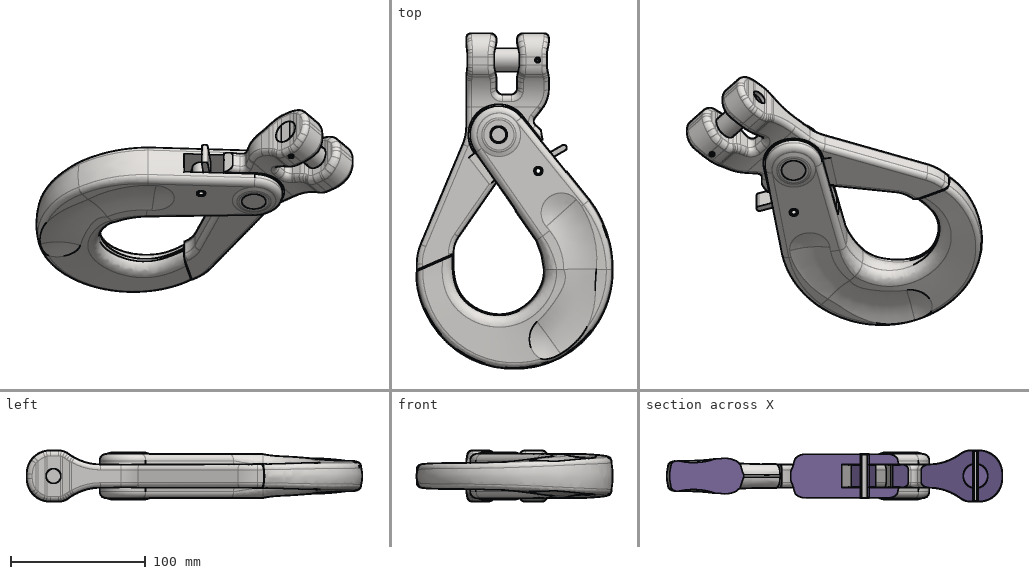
import cadquery as cq
import math


ARM_ANGLE = -52.5
ARM_LENGTH = 79.2
EYE_RADIUS = 21.2
ARM_PIVOT_OFFSET = 22.2
ARM_END_INNER = 26.0
ARM_END_OUTER = 24.2
ARM_HALF_HEIGHT = 16.5
ARM_EDGE_ROUND = 5.0
OUTER_ROUND = 4.0
INNER_ROUND = 8.5
SIDE_BULGE = 1.0
BOSS_TOP = 17.7
BOSS_TOP_RADIUS = 12.0
BOSS_BASE_RADIUS = 17.0
BOSS_ROUND = 5.0
BOSS_SINK = 0.2
SLOT_HALF_HEIGHT = 8.5
SLOT_LENGTH = 52.3

THROAT_CENTER = (0, -99.5)
THROAT_RADIUS = 33.4
BEND_CENTER = (11.7, -100.8)
BEND_RADIUS = 73.0
BEND_OUTER_DROP = 1.7
BEND_BOTTOM_HALF_HEIGHT = 10.2
INNER_FLAT = 1.0
SHOULDER_ANGLE = 19
SHOULDER_CENTER = (5, -99.5)
SHOULDER_RADIUS = 80.0
TIP_HALF_HEIGHT = 9.0
TIP_ROOT_ANGLE = -156.5
TIP_INNER = (-33.4, -89.1)
TIP_OUTER = (-60.7, -101.0)
TIP_GAP = 0.7

GROOVE_RADIUS = 62.2
GROOVE_HALF_WIDTH = 15.0
GROOVE_DEPTH = 2.5
GROOVE_ARM_SWEEP = 42
GROOVE_BEND_SWEEP = 54
GROOVE_TILT = 5.0

CLEVIS_LEFT = -24.2
CLEVIS_RIGHT = 37.3
CLEVIS_END = 75.2
LOBE_HALF_HEIGHT = 19.05
LOBE_CORNER_RADIUS = 17.5
FRAME_HALF_HEIGHT = 8.7
FRAME_ROUND = 4.0
CLEVIS_PIN_Y = 55.3
JAW_LEFT = -1.5
JAW_RIGHT = 13.5
JAW_BOTTOM = 30.0
JAW_CORNER = 4.2
JAW_ROUND = 4.7
JAW_WAIST_DEPTH = 1.7
LEFT_WAIST_DEPTH = 0.7
RIGHT_WAIST_DEPTH = 1.5
WAIST_HALF_LENGTH = 12.5
WAIST_HALF_FLOOR = 5.7
WAIST_ROUND = 15.0
NOSE_LIMIT = (17.5, 7.5)
HUB_HALF_HEIGHT = 8.2
HUB_RECESS_RADIUS = 22.53
HUB_RAMP_OFFSET = 28.0

PIVOT_DIAMETER = 18.0
PIVOT_END_HOLE = 11.0
PIVOT_END_CHAMFER = 0.87
PIVOT_TOP = BOSS_TOP - 1.2
CLEVIS_PIN_DIAMETER = 17.7
CLEVIS_PIN_SEAT_X = -20.0
KNOCKOUT_DIAMETER = 11.0
RETAINER_X = 29.0
RETAINER_DIAMETER = 4.0
RETAINER_BORE = 2.0
RETAINER_HALF_LENGTH = 18.5
TRIGGER_PIN_CENTER = (29.5, -27.0)
TRIGGER_PIN_DIAMETER = 6.5
TRIGGER_PIN_BORE = 4.0
TRIGGER_PIN_HALF_LENGTH = 16.0

TRIGGER_HALF_HEIGHT = 8.2
TRIGGER_HUB_RADIUS = 6.5
TRIGGER_PLATE = [(1.5, -38.5), (11.5, -53.8), (17.0, -51.8), (34.9, -30.0), (27.0, -21.0)]
LEVER_HALF_WIDTH = 2.2
LEVER_TIP = (48.3, -9.7)
LEVER_ROOT = (30.9, -19.7)

TALL = 2 * LOBE_HALF_HEIGHT


def polar(radius, degrees, center=(0, 0)):
    """Point at a distance and direction from a centre in the XY plane."""
    angle = math.radians(degrees)
    return (center[0] + radius * math.cos(angle), center[1] + radius * math.sin(angle))


def along_arm(distance, offset):
    """Point at a distance along the arm axis and an offset toward the outside of the hook."""
    return polar(offset, ARM_ANGLE + 90, polar(distance, ARM_ANGLE))


def rod(center, diameter, bottom, top):
    """Cylinder along Z."""
    return cq.Workplane("XY", origin=(*center, bottom)).circle(diameter / 2).extrude(top - bottom)


def both_faces(upper):
    """A shape above mid height together with its mirror image below."""
    return upper.union(upper.mirror("XY"))


def unit(start, end):
    """Direction from one point to another."""
    length = math.dist(start, end)
    return ((end[0] - start[0]) / length, (end[1] - start[1]) / length)


def rounded_outline(plane, corners):
    """Closed outline through (x, y, radius) corners, each rounded by a tangent arc of its radius."""
    outline = plane
    started = False
    for index, (x, y, radius) in enumerate(corners):
        corner = (x, y)
        back = unit(corner, corners[index - 1][:2])
        ahead = unit(corner, corners[(index + 1) % len(corners)][:2])
        half_angle = math.acos(back[0] * ahead[0] + back[1] * ahead[1]) / 2
        reach = radius / math.tan(half_angle)
        start = (x + reach * back[0], y + reach * back[1])
        outline = outline.lineTo(*start) if started else outline.moveTo(*start)
        started = True
        if radius > 0:
            end = (x + reach * ahead[0], y + reach * ahead[1])
            inward = unit(corner, ((start[0] + end[0]) / 2, (start[1] + end[1]) / 2))
            depth = radius / math.sin(half_angle) - radius
            outline = outline.threePointArc((x + depth * inward[0], y + depth * inward[1]), end)
    return outline.close()


def bend_section(inner, outer, inner_height, outer_height, inner_round, outer_round):
    """Closed wire across the hook from an inner to an outer point, with four rounded corners.

    The heights are half heights of the two faces at their inner and outer edges.
    """
    span = math.dist(inner, outer)
    direction = (*unit(inner, outer), 0)
    plane = cq.Plane(origin=(*inner, 0), xDir=direction, normal=(direction[1], -direction[0], 0))
    inner_z = inner_height - inner_round
    outer_z = outer_height - outer_round
    inner_side = SIDE_BULGE
    outer_side = span - SIDE_BULGE
    inner_top = inner_side + inner_round
    outer_top = outer_side - outer_round
    inner_turn = inner_round * (1 - math.sqrt(0.5))
    outer_turn = outer_round * (1 - math.sqrt(0.5))
    inner_middle = (inner_side + inner_turn, inner_height - inner_turn)
    outer_middle = (outer_side - outer_turn, outer_height - outer_turn)
    return (
        cq.Workplane(plane)
        .moveTo(inner_side, -inner_z)
        .threePointArc((0, 0), (inner_side, inner_z))
        .threePointArc(inner_middle, (inner_top, inner_height))
        .lineTo(outer_top, outer_height)
        .threePointArc(outer_middle, (outer_side, outer_z))
        .threePointArc((span, 0), (outer_side, -outer_z))
        .threePointArc((outer_middle[0], -outer_middle[1]), (outer_top, -outer_height))
        .lineTo(inner_top, -inner_height)
        .threePointArc((inner_middle[0], -inner_middle[1]), (inner_side, -inner_z))
        .close()
        .val()
    )


def arm_section(distance, inner_offset, outer_offset):
    """Section square to the arm axis."""
    return bend_section(
        along_arm(distance, -inner_offset),
        along_arm(distance, outer_offset),
        ARM_HALF_HEIGHT,
        ARM_HALF_HEIGHT,
        ARM_EDGE_ROUND,
        ARM_EDGE_ROUND,
    )


def arm_end_section():
    return arm_section(ARM_LENGTH, ARM_END_INNER, ARM_END_OUTER)


def outer_point(degrees, center, radius):
    """Where a ray from the throat centre meets a circle that forms the outside of the hook."""
    ray = polar(1, degrees)
    shift = (center[0] - THROAT_CENTER[0], center[1] - THROAT_CENTER[1])
    along = shift[0] * ray[0] + shift[1] * ray[1]
    reach = along + math.sqrt(along**2 + radius**2 - shift[0] ** 2 - shift[1] ** 2)
    return polar(reach, degrees, THROAT_CENTER)


def shoulder_section():
    """Section halfway between the arm and the thickest radial section."""
    return bend_section(
        polar(THROAT_RADIUS, SHOULDER_ANGLE, THROAT_CENTER),
        outer_point(SHOULDER_ANGLE, SHOULDER_CENTER, SHOULDER_RADIUS),
        ARM_HALF_HEIGHT,
        ARM_HALF_HEIGHT - BEND_OUTER_DROP / 2,
        (ARM_EDGE_ROUND + INNER_ROUND) / 2,
        (ARM_EDGE_ROUND + OUTER_ROUND) / 2,
    )


def radial_section(degrees):
    """Section of the bend: it thins evenly down to the bottom, then gently toward the tip."""
    inner_height = BEND_BOTTOM_HALF_HEIGHT
    outer_height = BEND_BOTTOM_HALF_HEIGHT
    if degrees > -90:
        share = 1 + degrees / 90
        inner_height += share * (ARM_HALF_HEIGHT - BEND_BOTTOM_HALF_HEIGHT)
        outer_height = inner_height - share * BEND_OUTER_DROP
    else:
        share = (-degrees - 90) / 90
        inner_height += share * (TIP_HALF_HEIGHT - BEND_BOTTOM_HALF_HEIGHT)
        outer_height = inner_height
    return bend_section(
        polar(THROAT_RADIUS, degrees, THROAT_CENTER),
        outer_point(degrees, BEND_CENTER, BEND_RADIUS),
        inner_height,
        outer_height,
        min(INNER_ROUND, inner_height - INNER_FLAT),
        OUTER_ROUND,
    )


def make_bend():
    """Shoulder that joins the arm, then the round bend to the tip."""
    shoulder = cq.Solid.makeLoft([arm_end_section(), shoulder_section(), radial_section(0)])
    tip_round = TIP_HALF_HEIGHT - INNER_FLAT
    tip = bend_section(
        TIP_INNER, TIP_OUTER, TIP_HALF_HEIGHT, TIP_HALF_HEIGHT, tip_round, OUTER_ROUND
    )
    radial = [radial_section(degrees) for degrees in (0, -30, -60, -90, -125, TIP_ROOT_ANGLE)]
    bend = cq.Solid.makeLoft([*radial, tip])
    return cq.Workplane(shoulder).union(cq.Workplane(bend))


def make_arm():
    """Tapered arm, round eye and raised boss."""
    pivot_section = arm_section(0, ARM_PIVOT_OFFSET, ARM_PIVOT_OFFSET)
    arm = cq.Workplane(cq.Solid.makeLoft([pivot_section, arm_end_section()], True))
    eye = rod((0, 0), 2 * EYE_RADIUS, -ARM_HALF_HEIGHT, ARM_HALF_HEIGHT)
    eye = eye.faces("<Z or >Z").edges().fillet(ARM_EDGE_ROUND)
    boss = (
        cq.Workplane("XY", origin=(0, 0, ARM_HALF_HEIGHT - BOSS_SINK))
        .circle(BOSS_BASE_RADIUS)
        .workplane(offset=BOSS_TOP - ARM_HALF_HEIGHT + BOSS_SINK)
        .circle(BOSS_TOP_RADIUS)
        .loft()
        .faces(">Z")
        .edges()
        .fillet(BOSS_ROUND)
    )
    return arm.union(eye).union(both_faces(boss))


def make_groove():
    """Shallow trough around the bend with ball ends; its lower part tilts with the face."""
    ball_radius = (GROOVE_HALF_WIDTH**2 + GROOVE_DEPTH**2) / (2 * GROOVE_DEPTH)
    ball_z = ARM_HALF_HEIGHT - GROOVE_DEPTH + ball_radius

    def trough(sweep):
        ring = (
            cq.Workplane("XZ", origin=(*THROAT_CENTER, 0))
            .center(GROOVE_RADIUS, ball_z)
            .circle(ball_radius)
            .revolve(abs(sweep), (-GROOVE_RADIUS, 0), (-GROOVE_RADIUS, math.copysign(1, sweep)))
        )
        end = polar(GROOVE_RADIUS, sweep, THROAT_CENTER)
        return ring.union(cq.Workplane("XY").sphere(ball_radius).translate((*end, ball_z)))

    hinge = (*THROAT_CENTER, ARM_HALF_HEIGHT)
    hinge_end = (THROAT_CENTER[0] + 1, THROAT_CENTER[1], ARM_HALF_HEIGHT)
    lower = trough(-GROOVE_BEND_SWEEP).rotate(hinge, hinge_end, GROOVE_TILT)
    return trough(GROOVE_ARM_SWEEP), lower


def make_hook():
    hook = make_arm().union(make_bend())
    for trough in make_groove():
        hook = hook.cut(trough).cut(trough.mirror("XY"))
    slot = (
        cq.Workplane("XY")
        .transformed(rotate=(0, 0, ARM_ANGLE))
        .box(SLOT_LENGTH + 2 * EYE_RADIUS, 4 * EYE_RADIUS, 2 * SLOT_HALF_HEIGHT,
             centered=(False, True, True))
        .translate((*polar(-2 * EYE_RADIUS, ARM_ANGLE), 0))
    )
    pivot_bore = rod((0, 0), PIVOT_DIAMETER, -TALL, PIVOT_TOP)
    end_hole = rod((0, 0), PIVOT_END_HOLE, 0, TALL)
    chamfer = cq.Workplane(
        cq.Solid.makeCone(
            PIVOT_END_HOLE / 2,
            PIVOT_END_HOLE / 2 + PIVOT_END_CHAMFER,
            PIVOT_END_CHAMFER,
            cq.Vector(0, 0, BOSS_TOP - PIVOT_END_CHAMFER),
        )
    )
    trigger_bore = rod(TRIGGER_PIN_CENTER, TRIGGER_PIN_DIAMETER, -TALL, TALL)
    for cutter in (slot, pivot_bore, end_hole, chamfer, trigger_bore):
        hook = hook.cut(cutter)
    return hook


def waist(side, depth, heading):
    """Corners of a shallow hollow across an ear at the pin; heading +1 runs toward +Y."""
    corners = [
        (side, CLEVIS_PIN_Y - WAIST_HALF_LENGTH, WAIST_ROUND),
        (side + depth, CLEVIS_PIN_Y - WAIST_HALF_FLOOR, WAIST_ROUND),
        (side + depth, CLEVIS_PIN_Y + WAIST_HALF_FLOOR, WAIST_ROUND),
        (side, CLEVIS_PIN_Y + WAIST_HALF_LENGTH, WAIST_ROUND),
    ]
    return corners[::heading]


def frame_plan():
    """Outline of the clevis, its waist, the locking nose and the arm that meets the hook tip."""
    outline = rounded_outline(
        cq.Workplane("XY", origin=(0, 0, -TALL)),
        [
            (CLEVIS_LEFT, CLEVIS_END, 0),
            *waist(CLEVIS_LEFT, LEFT_WAIST_DEPTH, -1),
            (CLEVIS_LEFT, -1.0, 32.4),
            (TIP_OUTER[0], -88.1, 37.3),
            (TIP_OUTER[0], TIP_OUTER[1] + TIP_GAP, 0),
            (TIP_INNER[0], TIP_INNER[1] + TIP_GAP, 0),
            (TIP_INNER[0], -81.2, 21.2),
            (15.5, -11.0, 0),
            (27.5, -7.5, 0),
            (32.5, -3.7, 0),
            (31.4, 3.5, 0),
            (24.6, 9.5, 3.7),
            (CLEVIS_RIGHT, 25.6, 25.0),
            *waist(CLEVIS_RIGHT, -RIGHT_WAIST_DEPTH, 1),
            (CLEVIS_RIGHT, CLEVIS_END, 0),
        ],
    )
    return outline.extrude(2 * TALL)


def frame_profile():
    """Side shape: a thick round lobe that narrows to the flat web and arm."""
    left_end = 2 * CLEVIS_END
    outline = rounded_outline(
        cq.Workplane("YZ", origin=(-left_end, 0, 0)),
        [
            (-left_end, 0, 0),
            (-left_end, FRAME_HALF_HEIGHT, 0),
            (32.9, FRAME_HALF_HEIGHT, 39.3),
            (47.8, LOBE_HALF_HEIGHT, 12.5),
            (CLEVIS_END, LOBE_HALF_HEIGHT, LOBE_CORNER_RADIUS),
            (CLEVIS_END, 0, 0),
        ],
    )
    return both_faces(outline.extrude(2 * left_end))


def make_jaw():
    """Mouth between the ears, hollowed into both of them around the pin."""
    mouth_end = CLEVIS_END + JAW_CORNER
    outline = rounded_outline(
        cq.Workplane("XY", origin=(0, 0, -TALL)),
        [
            (JAW_LEFT, mouth_end, 0),
            *waist(JAW_LEFT, -JAW_WAIST_DEPTH, -1),
            (JAW_LEFT, JAW_BOTTOM, JAW_CORNER),
            (JAW_RIGHT, JAW_BOTTOM, JAW_CORNER),
            *waist(JAW_RIGHT, JAW_WAIST_DEPTH, 1),
            (JAW_RIGHT, mouth_end, 0),
        ],
    )
    return outline.extrude(2 * TALL)


def is_jaw_rim(edge):
    """Rim edges around the mouth between the two ears."""
    middle = edge.Center()
    in_width = JAW_LEFT - 1.5 * JAW_WAIST_DEPTH < middle.x < JAW_RIGHT + 1.5 * JAW_WAIST_DEPTH
    return is_rim(edge) and in_width and middle.y > JAW_BOTTOM - 0.2


def is_outer_rim(edge):
    """Rim edges around the outside, without the locking nose and the end that meets the hook tip."""
    middle = edge.Center()
    on_nose = middle.x > NOSE_LIMIT[0] and middle.y < NOSE_LIMIT[1]
    on_tip_end = TIP_OUTER[0] + 5 < middle.x < TIP_INNER[0] - 5 and middle.y < TIP_INNER[1] - 2.5
    return is_rim(edge) and not (is_jaw_rim(edge) or on_nose or on_tip_end)


def is_rim(edge):
    """True for edges around the faces, not those across a face, up a side or at mid height."""
    box = edge.BoundingBox()
    across_face = box.ylen < 0.02 and box.xlen > JAW_RIGHT - JAW_LEFT
    touches_mid_height = box.zmin < 0.02 and box.zmax > -0.02
    at_clevis_end = box.ymin > CLEVIS_END - 0.02
    return not across_face and (at_clevis_end or not touches_mid_height)


def round_rim(body, is_wanted, radius):
    rim = [edge for edge in body.edges().vals() if is_wanted(edge)]
    return body.newObject(rim).fillet(radius)


def make_hub_recess():
    """Thins the frame where the hook cheeks sit, with a ramp up to the frame arm beside them."""
    disc = rod((0, 0), 2 * HUB_RECESS_RADIUS, HUB_HALF_HEIGHT, TALL)
    strip_plane = cq.Plane(
        origin=(0, 0, 0), xDir=(*polar(1, ARM_ANGLE + 90), 0), normal=(*polar(-1, ARM_ANGLE), 0)
    )
    strip = (
        cq.Workplane(strip_plane)
        .moveTo(HUB_RECESS_RADIUS, HUB_HALF_HEIGHT)
        .lineTo(-HUB_RECESS_RADIUS, HUB_HALF_HEIGHT)
        .lineTo(-HUB_RAMP_OFFSET, FRAME_HALF_HEIGHT)
        .lineTo(-HUB_RAMP_OFFSET, LOBE_HALF_HEIGHT)
        .lineTo(HUB_RECESS_RADIUS, LOBE_HALF_HEIGHT)
        .close()
        .extrude(-ARM_LENGTH)
    )
    return both_faces(disc.union(strip))


def make_frame():
    frame = frame_plan().intersect(frame_profile()).cut(make_jaw())
    frame = round_rim(frame, is_outer_rim, FRAME_ROUND)
    frame = round_rim(frame, is_jaw_rim, JAW_ROUND)
    pivot_bore = rod((0, 0), PIVOT_DIAMETER, -TALL, TALL)
    knockout = (
        cq.Workplane("YZ", origin=(CLEVIS_LEFT - 2.5, CLEVIS_PIN_Y, 0))
        .circle(KNOCKOUT_DIAMETER / 2)
        .extrude(CLEVIS_PIN_SEAT_X - CLEVIS_LEFT + 5)
    )
    retainer_bore = rod((RETAINER_X, CLEVIS_PIN_Y), RETAINER_DIAMETER, -TALL, TALL)
    for cutter in (make_hub_recess(), pivot_bore, clevis_pin_blank(), knockout, retainer_bore):
        frame = frame.cut(cutter)
    return frame


def clevis_pin_blank():
    """Solid pin from its blind seat in the left ear to the outside of the right ear."""
    return (
        cq.Workplane("YZ", origin=(CLEVIS_PIN_SEAT_X, CLEVIS_PIN_Y, 0))
        .circle(CLEVIS_PIN_DIAMETER / 2)
        .extrude(CLEVIS_RIGHT - RIGHT_WAIST_DEPTH - CLEVIS_PIN_SEAT_X)
    )


def make_clevis_pin():
    return clevis_pin_blank().cut(rod((RETAINER_X, CLEVIS_PIN_Y), RETAINER_DIAMETER, -TALL, TALL))


def make_pivot_pin():
    return rod((0, 0), PIVOT_DIAMETER, -BOSS_TOP, PIVOT_TOP)


def make_spring_pin(center, diameter, bore, half_length):
    """Hollow pin along Z."""
    tube = rod(center, diameter, -half_length, half_length)
    return tube.cut(rod(center, bore, -half_length, half_length))


def make_trigger():
    """Plate that closes the slot on the throat side, a hub on its pin, and a thumb lever."""
    height = 2 * TRIGGER_HALF_HEIGHT
    base = cq.Workplane("XY", origin=(0, 0, -TRIGGER_HALF_HEIGHT))
    plate = base.polyline(TRIGGER_PLATE).close().extrude(height)
    hub = base.center(*TRIGGER_PIN_CENTER).circle(TRIGGER_HUB_RADIUS).extrude(height)
    span = math.dist(LEVER_ROOT, LEVER_TIP)
    slope = math.degrees(math.atan2(LEVER_TIP[1] - LEVER_ROOT[1], LEVER_TIP[0] - LEVER_ROOT[0]))
    lever_middle = ((LEVER_ROOT[0] + LEVER_TIP[0]) / 2, (LEVER_ROOT[1] + LEVER_TIP[1]) / 2)
    lever = (
        base.center(*lever_middle)
        .slot2D(span + 2 * LEVER_HALF_WIDTH, 2 * LEVER_HALF_WIDTH, slope)
        .extrude(height)
    )
    pin_bore = rod(TRIGGER_PIN_CENTER, TRIGGER_PIN_DIAMETER, -TALL, TALL)
    return plate.union(hub).union(lever).cut(pin_bore)


hook = make_hook()
frame = make_frame()
pivot_pin = make_pivot_pin()
clevis_pin = make_clevis_pin()
retainer = make_spring_pin(
    (RETAINER_X, CLEVIS_PIN_Y), RETAINER_DIAMETER, RETAINER_BORE, RETAINER_HALF_LENGTH
)
trigger = make_trigger()
trigger_pin = make_spring_pin(
    TRIGGER_PIN_CENTER, TRIGGER_PIN_DIAMETER, TRIGGER_PIN_BORE, TRIGGER_PIN_HALF_LENGTH
)

result = cq.Compound.makeCompound(
    [
        hook.val(),
        frame.val(),
        pivot_pin.val(),
        clevis_pin.val(),
        retainer.val(),
        trigger.val(),
        trigger_pin.val(),
    ]
)